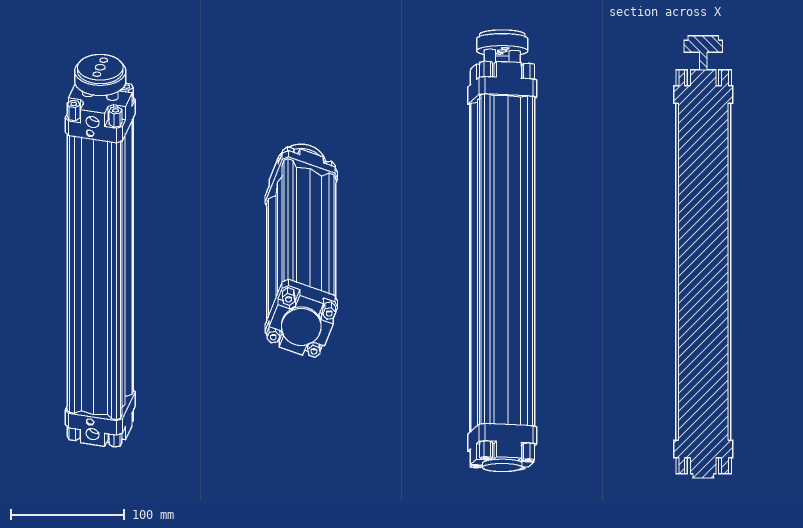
import cadquery as cq
import math

total_height = 389.0
spigot_height = 4.0
cap_height = 29.5
rod_gap = 15.0
plate_thickness = 14.8
upper_cap_top = total_height - plate_thickness - rod_gap
barrel_bottom = spigot_height + cap_height
barrel_top = upper_cap_top - cap_height

cap_width = 52.0
cap_chamfer = 4.3
pocket_depth = 14.0
arm_width = 22.0
pocket_chamfer = 4.0
spigot_diameter = 35.0

nut_spacing = 38.0
nut_across_flats = 10.0
nut_hole_diameter = 5.0
nut_hole_depth = 10.0
drill_tip_angle = 120.0

port_diameter = 11.5
port_inset = 11.3
port_depth = 10.0
vent_diameter = 6.5
vent_inset = 23.7
vent_offset = -2.5
vent_depth = 1.5

barrel_width = 48.5
barrel_chamfer = 2.7
groove_mouth = 34.0
groove_floor = 23.7
ridge_slope = 15.0

rod_diameter = 10.0
rod_spacing = 22.0
plate_diameter = 45.0
plate_step_diameter = 40.0
plate_step_height = 4.0
center_hole_diameter = 8.5
side_hole_diameter = 6.5
side_hole_spacing = 22.5


def make_barrel():
    """Square profile: chamfered corners and, on each side, a hollow with a low middle ridge."""
    half = barrel_width / 2
    half_mouth = groove_mouth / 2
    half_floor = groove_floor / 2
    floor_y = -half + (half_mouth - half_floor)
    ridge_y = floor_y - half_floor * math.tan(math.radians(ridge_slope))
    side = [
        (-half + barrel_chamfer, -half),
        (-half_mouth, -half),
        (-half_floor, floor_y),
        (0, ridge_y),
        (half_floor, floor_y),
        (half_mouth, -half),
        (half - barrel_chamfer, -half),
    ]
    outline = []
    for cosine, sine in ((1, 0), (0, 1), (-1, 0), (0, -1)):
        outline += [(x * cosine - y * sine, x * sine + y * cosine) for x, y in side]
    return (
        cq.Workplane("XY", origin=(0, 0, barrel_bottom))
        .polyline(outline)
        .close()
        .extrude(barrel_top - barrel_bottom)
    )


def make_nut():
    """Hexagonal tie rod nut, as tall as its pocket is deep, for the (-X, -Y) corner."""
    corner = -nut_spacing / 2
    return (
        cq.Workplane("XY")
        .polygon(6, nut_across_flats / math.cos(math.pi / 6))
        .extrude(pocket_depth)
        .translate((corner, corner, cap_height - pocket_depth))
    )


def make_nut_bore():
    """Cutter for the drilled hole of that nut: a cylinder ending in a conical drill tip."""
    corner = -nut_spacing / 2
    radius = nut_hole_diameter / 2
    tip_height = radius / math.tan(math.radians(drill_tip_angle / 2))
    return (
        cq.Workplane("XZ")
        .polyline([(0, 0), (radius, 0), (radius, -nut_hole_depth), (0, -nut_hole_depth - tip_height)])
        .close()
        .revolve(360, (0, 0, 0), (0, 1, 0))
        .translate((corner, corner, cap_height))
    )


def make_cap():
    """Cap with its inner face at Z = 0 and its outer face, with the pockets, on top."""
    cap = (
        cq.Workplane("XY")
        .rect(cap_width, cap_width)
        .extrude(cap_height)
        .edges("|Z")
        .chamfer(cap_chamfer)
    )
    pocket_center = -(arm_width + cap_width) / 2
    pocket = (
        cq.Workplane("XY", origin=(pocket_center, pocket_center, cap_height - pocket_depth))
        .rect(cap_width, cap_width)
        .extrude(pocket_depth)
        .edges("|Z and >X and >Y")
        .chamfer(pocket_chamfer)
    )
    nut = make_nut()
    nut_bore = make_nut_bore()
    for quarter in range(4):
        angle = 90 * quarter
        cap = cap.cut(pocket.rotate((0, 0, 0), (0, 0, 1), angle))
        cap = cap.union(nut.rotate((0, 0, 0), (0, 0, 1), angle))
        cap = cap.cut(nut_bore.rotate((0, 0, 0), (0, 0, 1), angle))
    return cap


def side_hole(diameter, depth, x, z):
    """Cutter for a blind hole drilled into the front of a cap."""
    return (
        cq.Workplane("XZ", origin=(x, -cap_width / 2, z))
        .circle(diameter / 2)
        .extrude(-depth)
    )


def make_housing():
    upper_cap = make_cap().translate((0, 0, barrel_top))
    lower_cap = make_cap().mirror("XY").translate((0, 0, barrel_bottom))
    spigot = cq.Workplane("XY").circle(spigot_diameter / 2).extrude(spigot_height)
    housing = make_barrel().union(upper_cap).union(lower_cap).union(spigot)
    for outer_face, inward in ((upper_cap_top, -1), (spigot_height, 1)):
        port_z = outer_face + inward * port_inset
        vent_z = outer_face + inward * vent_inset
        housing = housing.cut(side_hole(port_diameter, port_depth, 0, port_z))
        housing = housing.cut(side_hole(vent_diameter, vent_depth, vent_offset, vent_z))
    return housing


def make_yoke():
    """Stepped round plate carried by two rods that meet the upper cap."""
    plate_bottom = total_height - plate_thickness
    lower_thickness = plate_thickness - plate_step_height
    plate = (
        cq.Workplane("XY", origin=(0, 0, plate_bottom))
        .circle(plate_diameter / 2)
        .extrude(lower_thickness)
        .faces(">Z")
        .workplane()
        .circle(plate_step_diameter / 2)
        .extrude(plate_step_height)
    )
    side_y = side_hole_spacing / 2
    plate = plate.faces(">Z").workplane().hole(center_hole_diameter)
    plate = (
        plate.faces(">Z")
        .workplane()
        .pushPoints([(0, -side_y), (0, side_y)])
        .hole(side_hole_diameter)
    )
    rods = (
        cq.Workplane("XY", origin=(0, 0, upper_cap_top))
        .pushPoints([(-rod_spacing / 2, 0), (rod_spacing / 2, 0)])
        .circle(rod_diameter / 2)
        .extrude(rod_gap)
    )
    return plate.union(rods)


housing = make_housing()
yoke = make_yoke()

result = cq.Compound.makeCompound([housing.val(), yoke.val()])